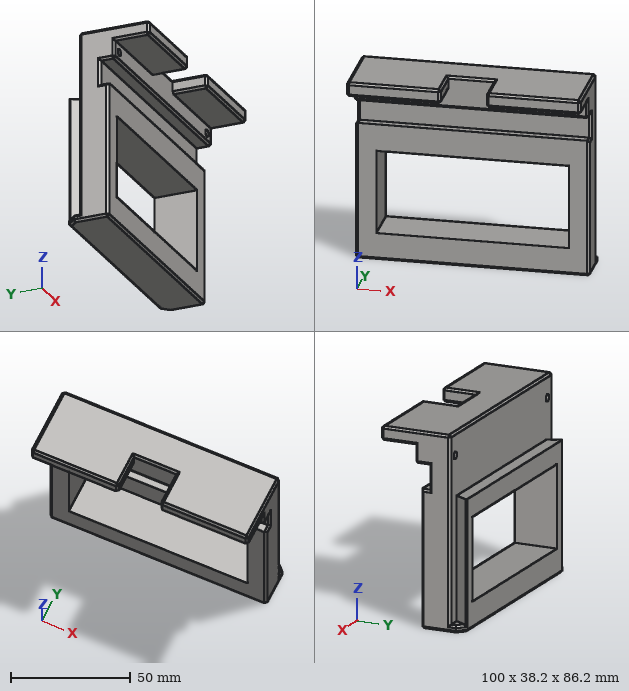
import cadquery as cq

width = 100.0
depth = 38.2
height = 86.2
bevel = 1.0

shelf_thickness = 6.2
rail_depth = 6.2
body_back = depth - rail_depth
step_front = 15.8
step_bottom = height - 14.2
groove_floor = 22.3
plate_front = 18.6
plate_top = 61.0

lip_height = 3.2
lip_corner = 3.6
rail_top = 58.2
rail_root_inset = 6.3
rail_edge_inset = 3.2
rail_bevel = 0.7

notch_width = 19.6
window_width = 82.4
window_bottom = 12.0
window_height = 37.0
screw_diameter = 3.0
screw_inset = 5.0
screw_drop = 10.0

tolerance = 0.01


def near(a, b):
    return abs(a - b) < tolerance


def make_body():
    """Stepped side profile swept across the width, with the lip corners cut and the shelf notched."""
    profile = [
        (plate_front, 0),
        (depth, 0),
        (depth, lip_height),
        (body_back, lip_height),
        (body_back, height),
        (0, height),
        (0, height - shelf_thickness),
        (step_front, height - shelf_thickness),
        (step_front, step_bottom),
        (groove_floor, step_bottom),
        (groove_floor, plate_top),
        (plate_front, plate_top),
    ]
    body = cq.Workplane("YZ").polyline(profile).close().extrude(width / 2, both=True)
    body = body.faces(">Y").edges("|Z").chamfer(lip_corner)
    notch = cq.Workplane("XY").box(notch_width, step_front, height, centered=(True, False, False))
    return body.cut(notch)


def is_bevelled(edge):
    """True for the outer edges that carry the small bevel."""
    box = edge.BoundingBox()
    middle = edge.Center()
    on_side = near(abs(middle.x), width / 2) and near(box.xlen, 0)
    at_lip_corner = box.xlen > tolerance and box.ylen > tolerance
    lip_corner_upright = box.zlen > tolerance and middle.y > body_back + tolerance
    if lip_corner_upright:
        return False
    if on_side or at_lip_corner:
        return True
    on_top = near(box.zmin, height)
    on_bottom = near(box.zmax, 0)
    on_shelf_front = near(box.ymax, 0)
    on_step_bottom = near(middle.z, step_bottom) and near(middle.y, step_front)
    on_notch_side = near(abs(middle.x), notch_width / 2) and near(box.zmax, height - shelf_thickness)
    return on_top or on_bottom or on_shelf_front or on_step_bottom or on_notch_side


def bevel_body(body):
    edges = [edge for edge in body.edges().vals() if is_bevelled(edge)]
    return body.newObject(edges).chamfer(bevel)


def make_rail():
    """Dovetail rail that widens towards the back and stands on the lip."""
    root = width / 2 - rail_root_inset
    edge = width / 2 - rail_edge_inset
    back = edge - rail_bevel
    outline = [
        (-root, body_back),
        (-edge, depth - rail_bevel),
        (-back, depth),
        (back, depth),
        (edge, depth - rail_bevel),
        (root, body_back),
    ]
    rail_base = lip_height - bevel
    rail = cq.Workplane("XY").workplane(offset=rail_base).polyline(outline).close()
    return rail.extrude(rail_top - rail_base)


def make_window():
    window = cq.Workplane("XY").box(window_width, depth, window_height, centered=(True, False, False))
    return window.translate((0, 0, window_bottom))


def make_screw_holes():
    spacing = width - 2 * screw_inset
    holes = cq.Workplane("XZ").center(0, height - screw_drop).rarray(spacing, 1, 2, 1)
    return holes.circle(screw_diameter / 2).extrude(-depth)


result = bevel_body(make_body()).union(make_rail()).cut(make_window()).cut(make_screw_holes())